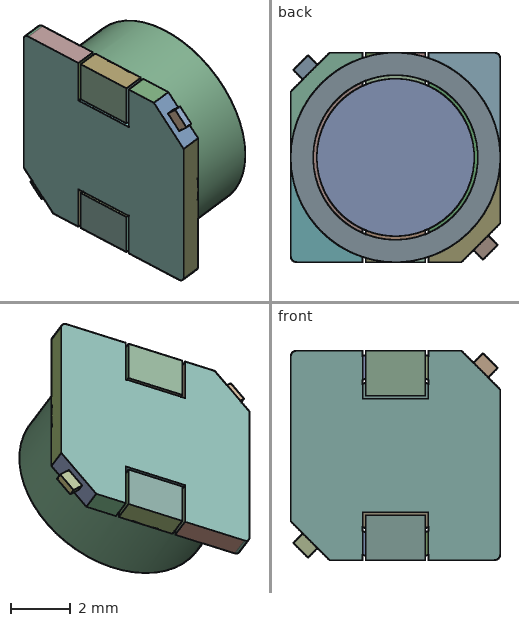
import cadquery as cq
import math

side = 7.0
half_side = side / 2
plate_thickness = 0.75
plate_mid_y = plate_thickness / 2
corner_cut = 1.3
corner_radius = 0.2

total_depth = 3.2
housing_depth = total_depth - plate_thickness
housing_radius = half_side
gap_outer_radius = 2.75
gap_inner_radius = 2.63

pad_width = 2.0
pad_height = 1.5
slot_width = 0.1

lug_width = 0.7
lug_thickness = 0.25
lug_front_y = 0.25
lug_length = 0.45
lug_root = 0.5
upper_lug_angle = -45
lower_lug_angle = 135


def cylinder_behind_plate(radius):
    """Disc from the back of the plate to the back of the part."""
    disc = cq.Workplane("XZ").circle(radius).extrude(-housing_depth)
    return disc.translate((0, plate_thickness, 0))


def block_on_edge(width, height, direction):
    """Plate-thick block reaching inward from the upper (+1) or lower (-1) edge."""
    center_z = direction * (half_side - height / 2)
    block = cq.Workplane("XY").box(width, plate_thickness, height)
    return block.translate((0, plate_mid_y, center_z))


def make_plate():
    """Square plate with two cut corners, two rounded corners and two slotted-off pads."""
    plate = cq.Workplane("XY").box(side, plate_thickness, side)
    plate = plate.translate((0, plate_mid_y, 0))
    for sign in (1, -1):
        cut_corner = (sign * half_side, plate_mid_y, sign * half_side)
        plate = plate.edges(cq.selectors.NearestToPointSelector(cut_corner)).chamfer(corner_cut)
        round_corner = (sign * half_side, plate_mid_y, -sign * half_side)
        plate = plate.edges(cq.selectors.NearestToPointSelector(round_corner)).fillet(corner_radius)
    for direction in (1, -1):
        opening = block_on_edge(pad_width + 2 * slot_width, pad_height + slot_width, direction)
        pad = block_on_edge(pad_width, pad_height, direction)
        plate = plate.cut(opening.cut(pad))
    return plate


def make_housing():
    """Outer ring and core; both stand on the back of the plate."""
    ring = cylinder_behind_plate(housing_radius).cut(cylinder_behind_plate(gap_outer_radius))
    return ring.union(cylinder_behind_plate(gap_inner_radius))


def make_lug(angle):
    """Lug along +X, rooted in the plate, turned about Y onto its cut corner."""
    cut_face_distance = (side - corner_cut) / math.sqrt(2)
    full_length = lug_root + lug_length
    center_x = cut_face_distance + lug_length - full_length / 2
    lug = cq.Workplane("XY").box(full_length, lug_thickness, lug_width)
    lug = lug.translate((center_x, lug_front_y + lug_thickness / 2, 0))
    return lug.rotate((0, 0, 0), (0, 1, 0), angle)


result = make_plate().union(make_housing())
for lug_angle in (upper_lug_angle, lower_lug_angle):
    result = result.union(make_lug(lug_angle))